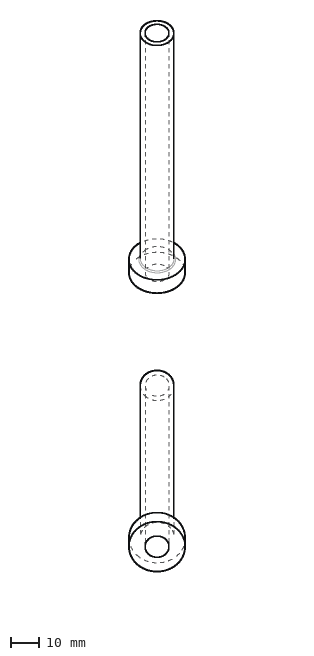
import cadquery as cq

total_length = 125.0
head_diameter = 20.0
head_height = 7.0
stem_diameter = 12.0
bore_diameter = 8.5
root_fillet_radius = 0.5

head = cq.Workplane("XY").circle(head_diameter / 2).extrude(head_height)
stem_length = total_length - head_height
body = head.faces(">Z").workplane().circle(stem_diameter / 2).extrude(stem_length)

root_edge = body.edges("%CIRCLE").edges(cq.selectors.RadiusNthSelector(0)).edges("<Z")
body = root_edge.fillet(root_fillet_radius)

bore = cq.Workplane("XY").circle(bore_diameter / 2).extrude(total_length)
result = body.cut(bore)